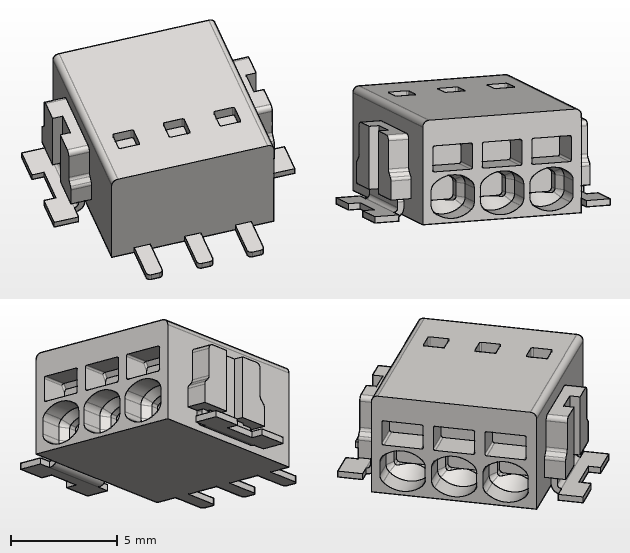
import cadquery as cq
import math

BODY_LENGTH = 9.0
BODY_WIDTH = 8.02
BODY_HEIGHT = 5.0
BODY_ROUND = 0.31

POLE_COUNT = 3
POLE_PITCH = 2.5
POLE_YS = [(i - (POLE_COUNT - 1) / 2) * POLE_PITCH for i in range(POLE_COUNT)]

TOTAL_LENGTH = 11.0
TOTAL_WIDTH = 11.9

METAL_THICKNESS = 0.31

PIN_WIDTH = 0.8
PIN_TIP_ROUND = 0.2

TEST_HOLE_SIDE = 1.04
TEST_HOLE_X = 6.52
TEST_HOLE_DEPTH = 0.5
TEST_HOLE_ROUND = 0.1

WINDOW_WIDTH = 2.0
WINDOW_BOTTOM = 2.5
WINDOW_TOP = 3.75
WINDOW_ROOF_DROP = 0.25
WINDOW_DEPTH = 1.5
WINDOW_SLOPE_LENGTH = 0.15
WINDOW_ROUND = 0.1

ENTRY_HALF_WIDTH = 1.1
ENTRY_BOTTOM = 0.2
ENTRY_TOP = 2.3
ENTRY_ARC = 1.39
ENTRY_CORNER = 0.48
ENTRY_BORE_DEPTH = 1.19
FUNNEL_ANGLE = 30.0
FUNNEL_FLOOR = 0.71
INNER_BORE_INSET = 0.27
INNER_BORE_ROUND = 0.2

CLIP_X = 3.71
CLIP_DEPTH = 1.02
CLIP_BOTTOM = 0.99
CLIP_TOP = 4.01
CLIP_LOWER_HALF = 2.21
CLIP_UPPER_HALF = 1.89
CLIP_SHOULDER_Z = 2.32
CLIP_ROUND = 0.24
CLIP_SLOT_WIDTH = 1.18
CLIP_SLOT_DEPTH = 0.5

TAB_WIDTH = 3.64
TAB_TOP = 0.9
TAB_ROUND = 0.12
TAB_NECK_WIDTH = 2.43
TAB_BEND_RADIUS = 0.2
FOOT_WIDTH = 4.97
FOOT_NOTCH_WIDTH = 1.82
FOOT_NOTCH_DEPTH = 0.6


def box_between(x_range, y_range, z_range):
    """Box spanning the given (low, high) pairs."""
    spans = (x_range, y_range, z_range)
    sizes = [high - low for low, high in spans]
    return cq.Workplane("XY").box(*sizes, centered=False).translate(tuple(low for low, _ in spans))


def centred(middle, width):
    """(low, high) pair of the given width about a middle."""
    return (middle - width / 2, middle + width / 2)


def housing():
    body = box_between((0, BODY_LENGTH), centred(0, BODY_WIDTH), (0, BODY_HEIGHT))
    return body.edges("|X and >Z").fillet(BODY_ROUND)


def pin(y):
    blade = box_between((BODY_LENGTH, TOTAL_LENGTH), centred(y, PIN_WIDTH), (0, METAL_THICKNESS))
    return blade.edges("|Z and >X").fillet(PIN_TIP_ROUND)


def test_hole(y):
    hole = box_between(
        centred(TEST_HOLE_X, TEST_HOLE_SIDE),
        centred(y, TEST_HOLE_SIDE),
        (BODY_HEIGHT - TEST_HOLE_DEPTH, BODY_HEIGHT),
    )
    return hole.edges("|Z").fillet(TEST_HOLE_ROUND)


def release_window(y):
    """Pocket whose roof slopes down just before its back wall."""
    side_profile = [
        (0, WINDOW_BOTTOM),
        (WINDOW_DEPTH, WINDOW_BOTTOM),
        (WINDOW_DEPTH, WINDOW_TOP - WINDOW_ROOF_DROP),
        (WINDOW_DEPTH - WINDOW_SLOPE_LENGTH, WINDOW_TOP),
        (0, WINDOW_TOP),
    ]
    pocket = cq.Workplane("XZ").polyline(side_profile).close().extrude(WINDOW_WIDTH / 2, both=True)
    long_edges = pocket.edges("not(|Y or |Z)")
    return long_edges.fillet(WINDOW_ROUND).translate((0, y, 0))


def entry_outline(inset):
    """Wire-entry outline moved inwards by inset: upright sides, round corners, shallow arcs."""
    corner = ENTRY_CORNER - inset
    arc = ENTRY_ARC - inset
    side = ENTRY_HALF_WIDTH - inset
    top = ENTRY_TOP - inset
    bottom = ENTRY_BOTTOM + inset

    corner_y = side - corner
    turn = math.acos(corner_y / (arc - corner))
    corner_rise = (arc - corner) * math.sin(turn)
    upper_z = top - arc + corner_rise
    lower_z = bottom + arc - corner_rise

    mid_y = corner_y + corner * math.cos(turn / 2)
    mid_rise = corner * math.sin(turn / 2)
    join_y = corner_y + corner * math.cos(turn)
    join_rise = corner * math.sin(turn)

    return (
        cq.Workplane("YZ")
        .moveTo(side, lower_z)
        .lineTo(side, upper_z)
        .threePointArc((mid_y, upper_z + mid_rise), (join_y, upper_z + join_rise))
        .threePointArc((0, top), (-join_y, upper_z + join_rise))
        .threePointArc((-mid_y, upper_z + mid_rise), (-side, upper_z))
        .lineTo(-side, lower_z)
        .threePointArc((-mid_y, lower_z - mid_rise), (-join_y, lower_z - join_rise))
        .threePointArc((0, bottom), (join_y, lower_z - join_rise))
        .threePointArc((mid_y, lower_z - mid_rise), (side, lower_z))
        .close()
    )


def wire_entry(y):
    """Bore, then a funnel narrowing into an inner bore with a flat floor."""
    bore = entry_outline(0).extrude(ENTRY_BORE_DEPTH)
    funnel_depth = (FUNNEL_FLOOR - ENTRY_BOTTOM) / math.tan(math.radians(FUNNEL_ANGLE))
    funnel = entry_outline(0).extrude(funnel_depth, taper=FUNNEL_ANGLE).translate((ENTRY_BORE_DEPTH, 0, 0))

    below_floor = box_between((0, BODY_LENGTH), (-BODY_WIDTH, BODY_WIDTH), (0, FUNNEL_FLOOR))
    inner_bore = (
        entry_outline(INNER_BORE_INSET)
        .extrude(ENTRY_BORE_DEPTH + funnel_depth)
        .cut(below_floor)
        .edges("|X and <Z")
        .fillet(INNER_BORE_ROUND)
    )
    return bore.union(funnel).union(inner_bore).translate((0, y, 0))


def clip():
    """Clip on the -Y side: a stepped block with a vertical slot in its outer face."""
    lower_z = CLIP_SHOULDER_Z - (CLIP_LOWER_HALF - CLIP_UPPER_HALF)
    right_side = [
        (CLIP_LOWER_HALF, CLIP_BOTTOM),
        (CLIP_LOWER_HALF, lower_z),
        (CLIP_UPPER_HALF, CLIP_SHOULDER_Z),
        (CLIP_UPPER_HALF, CLIP_TOP),
    ]
    left_side = [(-x, z) for x, z in reversed(right_side)]
    wall_y = -BODY_WIDTH / 2
    block = (
        cq.Workplane("XZ", origin=(CLIP_X, wall_y, 0))
        .polyline(right_side + left_side)
        .close()
        .extrude(CLIP_DEPTH)
        .edges("|Y and (not <Z)")
        .fillet(CLIP_ROUND)
    )
    outer_y = wall_y - CLIP_DEPTH
    slot = box_between(
        centred(CLIP_X, CLIP_SLOT_WIDTH),
        (outer_y, outer_y + CLIP_SLOT_DEPTH),
        (CLIP_BOTTOM, CLIP_TOP),
    )
    return block.cut(slot)


def solder_tab():
    """Tab under the -Y clip, its upright plate flush with the floor of the clip slot."""
    face_y = -BODY_WIDTH / 2 - CLIP_DEPTH + CLIP_SLOT_DEPTH
    back_y = face_y + METAL_THICKNESS
    end_y = -TOTAL_WIDTH / 2
    bend_y = face_y - TAB_BEND_RADIUS
    bend_z = METAL_THICKNESS + TAB_BEND_RADIUS

    bend = (
        cq.Workplane("YZ", origin=(CLIP_X - TAB_WIDTH / 2, 0, 0))
        .moveTo(bend_y, 0)
        .radiusArc((back_y, bend_z), -bend_z)
        .lineTo(face_y, bend_z)
        .radiusArc((bend_y, METAL_THICKNESS), TAB_BEND_RADIUS)
        .close()
        .extrude(TAB_WIDTH)
    )
    plate = box_between(centred(CLIP_X, TAB_WIDTH), (face_y, back_y), (bend_z, TAB_TOP))
    plate = plate.edges("|Y and >Z").fillet(TAB_ROUND)

    neck_half = TAB_NECK_WIDTH / 2
    neck_top = TAB_TOP + TAB_ROUND
    neck = (
        cq.Workplane("XZ", origin=(CLIP_X, back_y, 0))
        .moveTo(-neck_half - TAB_ROUND, TAB_TOP)
        .radiusArc((-neck_half, neck_top), -TAB_ROUND)
        .lineTo(neck_half, neck_top)
        .radiusArc((neck_half + TAB_ROUND, TAB_TOP), -TAB_ROUND)
        .close()
        .extrude(METAL_THICKNESS)
    )
    foot = box_between(centred(CLIP_X, FOOT_WIDTH), (end_y, bend_y), (0, METAL_THICKNESS))
    notch = box_between(
        centred(CLIP_X, FOOT_NOTCH_WIDTH),
        (end_y, end_y + FOOT_NOTCH_DEPTH),
        (0, METAL_THICKNESS),
    )
    return foot.cut(notch).union(bend).union(plate).union(neck)


result = housing()
for pole_y in POLE_YS:
    result = result.union(pin(pole_y))
    result = result.cut(test_hole(pole_y))
    result = result.cut(release_window(pole_y))
    result = result.cut(wire_entry(pole_y))

side_fitting = clip().union(solder_tab())
result = result.union(side_fitting).union(side_fitting.mirror("XZ"))